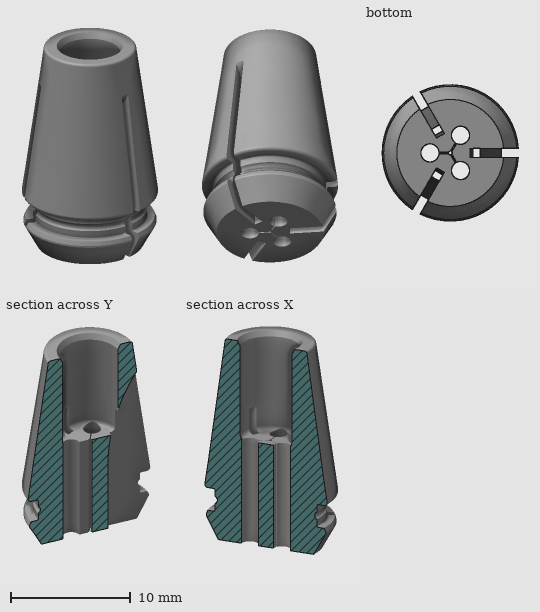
import cadquery as cq
import math

total_height = 18.0
max_radius = 5.7
taper_angle = 8.0
top_round = 0.25

taper_base_z = 4.48
taper_base_round = 0.3

neck_bottom_z = 2.5
neck_radius = 4.77
neck_corner_round = 0.1
ring_groove_z = (neck_bottom_z + taper_base_z) / 2
ring_groove_half_height = 0.32
ring_groove_depth = 0.2

head_radius = 5.57
head_top_radius = 5.42
head_band_bottom_z = 2.0
head_band_top_z = 2.16
head_bottom_radius = 4.47
head_bottom_break = 0.1

bore_radius = 2.5
bore_floor_z = 9.2
bore_floor_round = 0.43
bore_mouth_radius = 2.78
bore_mouth_depth = 0.48

center_hole_diameter = 0.3
relief_hole_diameter = 1.5
relief_hole_distance = 1.7
slit_width = 0.1

slot_count = 3
slot_width = 0.75
slot_inner_radius = 1.65
slot_top_z = 14.9
saw_radius = 15.0
slot_overshoot = 0.5

selection_margin = 0.01

slot_angles = [i * 360 / slot_count for i in range(slot_count)]
relief_angles = [angle + 180 / slot_count for angle in slot_angles]

taper_radians = math.radians(taper_angle)
taper_start_z = taper_base_z + taper_base_round * (1 + math.sin(taper_radians))
taper_start_radius = max_radius - taper_base_round * (1 - math.cos(taper_radians))


def taper_radius(z):
    """Radius of the long taper at height z."""
    return taper_start_radius - (z - taper_start_z) * math.tan(taper_radians)


def make_body():
    """Revolved outside shape, solid inside."""
    top_radius = taper_radius(total_height)
    head_slope = (head_radius - head_bottom_radius) / head_band_bottom_z
    profile = (
        cq.Workplane("XZ")
        .moveTo(0, 0)
        .lineTo(head_bottom_radius, 0)
        .lineTo(head_bottom_radius + head_bottom_break * head_slope, head_bottom_break)
        .lineTo(head_radius, head_band_bottom_z)
        .lineTo(head_radius, head_band_top_z)
        .lineTo(head_top_radius, neck_bottom_z)
        .lineTo(neck_radius, neck_bottom_z)
        .lineTo(neck_radius, ring_groove_z - ring_groove_half_height)
        .threePointArc(
            (neck_radius - ring_groove_depth, ring_groove_z),
            (neck_radius, ring_groove_z + ring_groove_half_height),
        )
        .lineTo(neck_radius, taper_base_z)
        .lineTo(taper_radius(taper_base_z), taper_base_z)
        .lineTo(top_radius, total_height)
        .lineTo(0, total_height)
        .close()
    )
    return profile.revolve(360, (0, 0, 0), (0, 1, 0))


def edge_circle(radius, z):
    """Selector for circular edges at height z that are no larger than the given radius."""
    reach = radius + selection_margin
    low_corner = (-reach, -reach, z - selection_margin)
    high_corner = (reach, reach, z + selection_margin)
    return cq.selectors.BoxSelector(low_corner, high_corner, True)


def round_edges(body):
    """Round the two rims of the taper and the two inner corners of the neck."""
    body = body.edges(edge_circle(taper_radius(total_height), total_height)).fillet(top_round)
    largest_circle = cq.selectors.RadiusNthSelector(-1)
    body = body.edges("%CIRCLE").edges(largest_circle).fillet(taper_base_round)
    for z in (neck_bottom_z, taper_base_z):
        body = body.edges(edge_circle(neck_radius, z)).fillet(neck_corner_round)
    return body


def make_bore():
    """Blind bore with a rounded floor edge and a chamfered mouth."""
    bore = (
        cq.Workplane("XY", origin=(0, 0, bore_floor_z))
        .circle(bore_radius)
        .extrude(total_height - bore_floor_z)
        .faces("<Z")
        .edges()
        .fillet(bore_floor_round)
    )
    mouth = (
        cq.Workplane("XZ")
        .moveTo(0, total_height - bore_mouth_depth)
        .lineTo(bore_radius, total_height - bore_mouth_depth)
        .lineTo(bore_mouth_radius, total_height)
        .lineTo(0, total_height)
        .close()
        .revolve(360, (0, 0, 0), (0, 1, 0))
    )
    return bore.union(mouth)


def make_jaw_gap(angle):
    """Relief hole and the narrow slit joining it to the centre hole, at the given angle."""
    hole = (
        cq.Workplane("XY")
        .center(relief_hole_distance, 0)
        .circle(relief_hole_diameter / 2)
        .extrude(bore_floor_z + bore_floor_round)
    )
    slit = cq.Workplane("XY").rect(relief_hole_distance, slit_width).extrude(bore_floor_z)
    slit = slit.translate((relief_hole_distance / 2, 0, 0))
    return hole.union(slit).rotate((0, 0, 0), (0, 0, 1), angle)


def make_saw_slot(angle):
    """Slot open at the bottom and outside, ending at the top in the arc left by the saw."""
    saw_center_r = slot_inner_radius + saw_radius
    exit_r = taper_radius(slot_top_z)
    saw_center_z = slot_top_z - math.sqrt(saw_radius**2 - (saw_center_r - exit_r) ** 2)
    mid_angle = math.asin((slot_top_z - saw_center_z) / saw_radius) / 2
    mid_point = (
        saw_center_r - saw_radius * math.cos(mid_angle),
        saw_center_z + saw_radius * math.sin(mid_angle),
    )
    outer_r = max_radius + slot_overshoot
    slot = (
        cq.Workplane("XZ")
        .moveTo(slot_inner_radius, 0)
        .lineTo(slot_inner_radius, saw_center_z)
        .threePointArc(mid_point, (exit_r, slot_top_z))
        .lineTo(outer_r, slot_top_z)
        .lineTo(outer_r, 0)
        .close()
        .extrude(slot_width / 2, both=True)
    )
    return slot.rotate((0, 0, 0), (0, 0, 1), angle)


result = round_edges(make_body()).cut(make_bore())
center_hole = cq.Workplane("XY").circle(center_hole_diameter / 2).extrude(bore_floor_z)
result = result.cut(center_hole)
for relief_angle in relief_angles:
    result = result.cut(make_jaw_gap(relief_angle))
for slot_angle in slot_angles:
    result = result.cut(make_saw_slot(slot_angle))